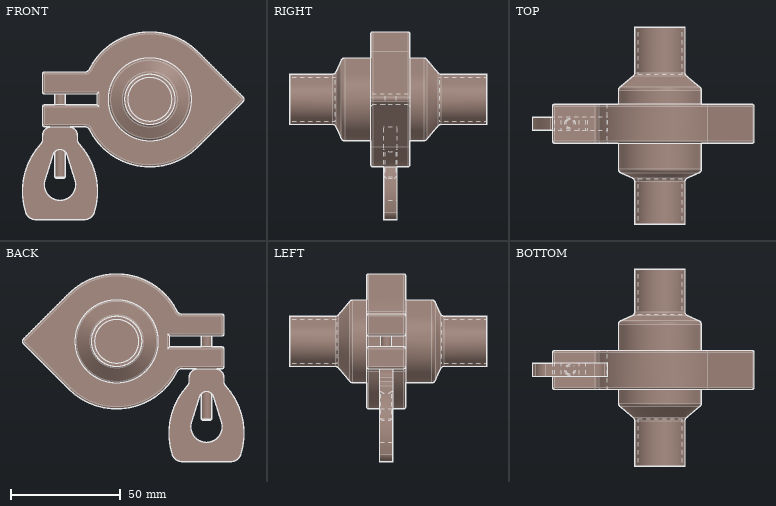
import cadquery as cq
import math


clamp_radius = 30.9
clamp_width = 17.9
tip_radius = 1.5
arm_end_x = -49.0
arm_half_height = 12.6
arm_root_radius = 2.0
slot_half_height = 2.4
slot_end_x = -24.2
edge_radius = 1.0

pipe_diameter = 23.0
bore_diameter = 20.0
body_diameter = 38.0
front_end_y = -46.0
front_cone_outer_y = -25.3
front_cone_inner_y = -22.0
back_cone_inner_y = 16.1
back_cone_outer_y = 22.4
back_end_y = 44.0
cone_blend_radius = 1.8

screw_x = -41.0
screw_diameter = 5.0
screw_bottom_z = -36.0
screw_chamfer = 0.6

handle_thickness = 6.1
handle_bottom_z = -55.0
handle_widest_z = -41.9
handle_half_width = 17.2
handle_side_radius = 31.9
neck_half_width = 8.0
neck_top_radius = 3.9
neck_root_radius = 3.0
handle_corner_radius = 4.9
window_large_radius = 7.1
window_large_z = -39.0
window_small_radius = 3.2
window_top_z = -22.9


def extrude_across(profile, width):
    """Extrude an XZ profile symmetrically about the clamp mid-plane."""
    return profile.extrude(width / 2, both=True)


def make_clamp():
    """Teardrop ring with two slotted arms and rounded edges."""
    tangent_point = clamp_radius * math.sqrt(0.5)
    tip_x = clamp_radius * math.sqrt(2)
    root_x = -math.sqrt(clamp_radius**2 - arm_half_height**2)
    profile = (
        cq.Workplane("XZ")
        .moveTo(arm_end_x, arm_half_height)
        .lineTo(root_x, arm_half_height)
        .threePointArc((0, clamp_radius), (tangent_point, tangent_point))
        .lineTo(tip_x, 0)
        .lineTo(tangent_point, -tangent_point)
        .threePointArc((0, -clamp_radius), (root_x, -arm_half_height))
        .lineTo(arm_end_x, -arm_half_height)
        .lineTo(arm_end_x, -slot_half_height)
        .lineTo(slot_end_x, -slot_half_height)
        .lineTo(slot_end_x, slot_half_height)
        .lineTo(arm_end_x, slot_half_height)
        .close()
    )
    clamp = extrude_across(profile, clamp_width)
    clamp = clamp.edges("|Y").edges(">X").fillet(tip_radius)
    for side in (1, -1):
        root = cq.selectors.NearestToPointSelector((root_x, 0, side * arm_half_height))
        clamp = clamp.edges("|Y").edges(root).fillet(arm_root_radius)
    return clamp.edges("<X or <Y or >Y").fillet(edge_radius)


def make_fitting():
    """Stepped body of revolution with blended cones leading to the pipe ends."""
    pipe_radius = pipe_diameter / 2
    body_radius = body_diameter / 2
    margin = 0.1
    fitting = (
        cq.Workplane("XY")
        .moveTo(0, front_end_y)
        .lineTo(pipe_radius, front_end_y)
        .lineTo(pipe_radius, front_cone_outer_y)
        .lineTo(body_radius, front_cone_inner_y)
        .lineTo(body_radius, back_cone_inner_y)
        .lineTo(pipe_radius, back_cone_outer_y)
        .lineTo(pipe_radius, back_end_y)
        .lineTo(0, back_end_y)
        .close()
        .revolve(360, (0, 0, 0), (0, 1, 0))
    )
    blend_edges = fitting.edges(
        cq.selectors.BoxSelector(
            (-body_diameter, front_cone_outer_y - margin, -body_diameter),
            (body_diameter, back_cone_outer_y + margin, body_diameter),
        )
    ).edges("%CIRCLE")
    return blend_edges.fillet(cone_blend_radius)


def make_bore(end_y, floor_y):
    """Blind bore from a pipe end to the root of its cone."""
    plane = cq.Workplane("XZ", origin=(0, end_y, 0))
    return plane.circle(bore_diameter / 2).extrude(end_y - floor_y)


def make_screw():
    """Clamping screw, from inside the upper arm down into the handle window."""
    screw_top_z = (slot_half_height + arm_half_height) / 2
    return (
        cq.Workplane("XY", origin=(screw_x, 0, screw_bottom_z))
        .circle(screw_diameter / 2)
        .extrude(screw_top_z - screw_bottom_z)
        .faces("<Z")
        .chamfer(screw_chamfer)
    )


def make_handle():
    """Flat wing handle with bowed sides and a teardrop window."""
    side_centre = handle_half_width - handle_side_radius

    def side_half_width(z):
        return side_centre + math.sqrt(handle_side_radius**2 - (z - handle_widest_z) ** 2)

    neck_root_z = handle_widest_z + math.sqrt(
        handle_side_radius**2 - (neck_half_width - side_centre) ** 2
    )
    bottom_half_width = side_half_width(handle_bottom_z)
    neck_top_z = -arm_half_height
    plane = cq.Workplane("XZ", origin=(screw_x, 0, 0))
    profile = (
        plane.moveTo(-neck_half_width, neck_top_z)
        .lineTo(neck_half_width, neck_top_z)
        .lineTo(neck_half_width, neck_root_z)
        .threePointArc((handle_half_width, handle_widest_z), (bottom_half_width, handle_bottom_z))
        .lineTo(-bottom_half_width, handle_bottom_z)
        .threePointArc((-handle_half_width, handle_widest_z), (-neck_half_width, neck_root_z))
        .close()
    )
    handle = extrude_across(profile, handle_thickness)
    handle = handle.edges("|Y").edges(">Z").fillet(neck_top_radius)
    handle = handle.edges("|Y").edges("<Z").fillet(handle_corner_radius)
    for side in (1, -1):
        root = cq.selectors.NearestToPointSelector((screw_x + side * neck_half_width, 0, neck_root_z))
        handle = handle.edges("|Y").edges(root).fillet(neck_root_radius)

    small_z = window_top_z - window_small_radius
    tilt = math.asin((window_large_radius - window_small_radius) / (small_z - window_large_z))
    small_x = window_small_radius * math.cos(tilt)
    small_tangent_z = small_z + window_small_radius * math.sin(tilt)
    large_x = window_large_radius * math.cos(tilt)
    large_tangent_z = window_large_z + window_large_radius * math.sin(tilt)
    window = (
        plane.moveTo(-small_x, small_tangent_z)
        .threePointArc((0, window_top_z), (small_x, small_tangent_z))
        .lineTo(large_x, large_tangent_z)
        .threePointArc((0, window_large_z - window_large_radius), (-large_x, large_tangent_z))
        .close()
    )
    return handle.cut(extrude_across(window, handle_thickness))


front_bore = make_bore(front_end_y, front_cone_outer_y)
back_bore = make_bore(back_end_y, back_cone_outer_y)
fitting = make_fitting().cut(front_bore).cut(back_bore)
result = make_clamp().union(fitting).union(make_handle()).union(make_screw())